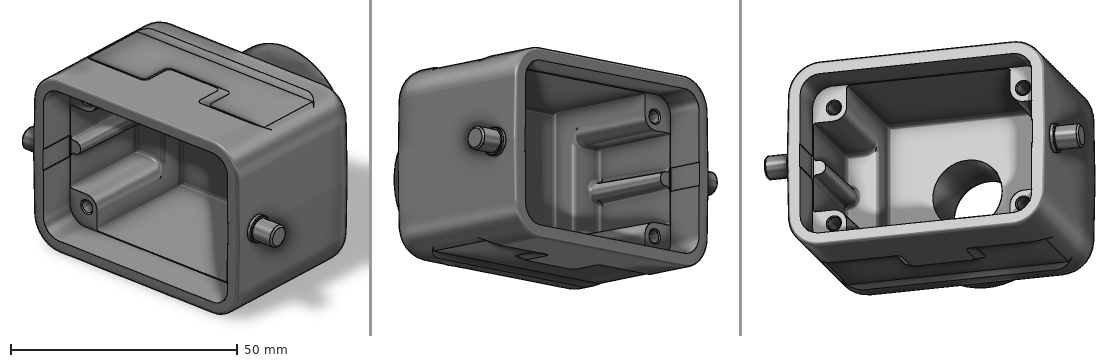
import cadquery as cq
import math


shell_width = 60.15
shell_height = 43.0
shell_depth = 39.9
side_draft = 1.2
shell_corner_radius = 7.5
back_round = 5.05
front_round = 0.65
wall = 2.9

entry_diameter = 34.1
entry_end = 52.5
entry_chamfer = 1.0
entry_base_fillet = 0.95
cable_hole_diameter = 16.05

mouth_width = 53.8
mouth_depth = 9.0
cavity_draft = 1.0
centre_pocket_width = 37.95
centre_pocket_height = 36.8
centre_pocket_end = shell_depth - wall
side_pocket_width = 53.5
side_pocket_height = 20.7
side_pocket_end = 30.95
post_round = 3.15
pocket_corner_radius = 0.65
floor_fillet = 1.0

rib_base_radius = 2.05
rib_tip_radius = 1.6
rib_start = 9.2
rib_centre_x = 25.55
rib_base_fillet = 0.95
screw_x = 22.0
screw_z = 13.5
screw_diameter = 2.9
screw_chamfer = 0.3
screw_depth = 10.2

groove_width = 5.25
groove_depth = 0.15

pin_y = 6.2
pin_span = 73.0
pin_diameter = 5.25
pin_chamfer = 0.45
collar_diameter = 6.4
collar_span = 62.1
collar_chamfer = 0.2

recess_depth = 0.95
recess_back = 32.05
recess_front = 12.05
tab_width = 15.05
tab_back = 20.0
recess_bevel = 1.75
recess_corner_radius = 1.25
recess_floor_width = 51.25
recess_end_drop = 0.5
recess_end_run = 1.0
recess_overrun = 3.65


def box_from_front(width, height, start, end, draft=0.0, corner=0.0):
    """Rectangular prism along +Y whose section shrinks with the draft."""
    section = cq.Sketch().rect(width, height)
    if corner:
        section = section.vertices().fillet(corner)
    return (
        cq.Workplane("XZ", origin=(0, start, 0))
        .placeSketch(section)
        .extrude(-(end - start), taper=draft)
    )


def cylinder_along_y(diameter, start, end):
    return cq.Workplane("XZ", origin=(0, start, 0)).circle(diameter / 2).extrude(start - end)


def make_shell():
    half_width = shell_width / 2
    half_height = shell_height / 2
    edge_x = half_width - half_height * math.tan(math.radians(side_draft))
    outline = [
        (half_width, 0),
        (edge_x, half_height),
        (-edge_x, half_height),
        (-half_width, 0),
        (-edge_x, -half_height),
        (edge_x, -half_height),
    ]
    shell = cq.Workplane("XZ").polyline(outline).close().extrude(-shell_depth)
    for z in (-half_height, half_height):
        for x in (-edge_x, edge_x):
            corner_edge = cq.selectors.BoxSelector((x - 0.7, 0, z - 0.7), (x + 0.7, shell_depth, z + 0.7))
            shell = shell.edges("|Y").edges(corner_edge).fillet(shell_corner_radius)
    shell = shell.faces(">Y").edges().fillet(back_round)
    return shell.faces("<Y").edges().fillet(front_round)


def make_cable_entry():
    entry = cylinder_along_y(entry_diameter, shell_depth - back_round, entry_end)
    return entry.faces(">Y").edges().chamfer(entry_chamfer)


def make_mouth():
    mouth_height = shell_height - 2 * wall
    mouth = box_from_front(
        mouth_width, mouth_height, 0, mouth_depth, corner=shell_corner_radius - wall
    )
    grooves = box_from_front(mouth_width + 2 * groove_depth, groove_width, 0, mouth_depth)
    return mouth.union(grooves)


def make_pockets():
    """Deep centre pocket crossed by a shallower one, which leaves four corner posts."""
    inner_corners = cq.selectors.BoxSelector(
        (-centre_pocket_width / 2 - 0.1, -side_pocket_height / 2 - 0.1, -0.7),
        (centre_pocket_width / 2 + 0.1, side_pocket_height / 2 + 0.1, 0.7),
    )
    cross_section = (
        cq.Sketch()
        .rect(centre_pocket_width, centre_pocket_height)
        .rect(side_pocket_width, side_pocket_height)
        .clean()
        .reset()
        .vertices(inner_corners)
        .fillet(post_round)
        .reset()
        .vertices("<X or >X or <Y or >Y")
        .fillet(pocket_corner_radius)
    )
    cross = (
        cq.Workplane("XZ", origin=(0, mouth_depth, 0))
        .placeSketch(cross_section)
        .extrude(mouth_depth - side_pocket_end, taper=cavity_draft)
    )
    centre = box_from_front(
        centre_pocket_width, centre_pocket_height, mouth_depth, centre_pocket_end,
        cavity_draft, pocket_corner_radius,
    )
    cross = cross.faces(">Y").edges().fillet(floor_fillet)
    centre = centre.faces(">Y").edges().fillet(floor_fillet)
    ridges = cq.selectors.BoxSelector(
        (-centre_pocket_width / 2, side_pocket_end - 0.04, -0.7),
        (centre_pocket_width / 2, side_pocket_end + 0.04, 0.7),
    )
    return cross.union(centre).edges("|Z").edges(ridges).fillet(floor_fillet)


def cut_ribs(pockets):
    """Take the two guide ribs out of the pocket volume, so that they stay in the hood."""
    rib_length = side_pocket_end - rib_start
    for x in (-rib_centre_x, rib_centre_x):
        rib = cq.Solid.makeCone(
            rib_tip_radius, rib_base_radius, rib_length,
            cq.Vector(x, rib_start, 0), cq.Vector(0, 1, 0),
        )
        pockets = pockets.cut(cq.Workplane(rib))
        rib_base = cq.selectors.BoxSelector(
            (x - rib_base_radius - 0.7, side_pocket_end - 0.1, -rib_base_radius - 0.7),
            (x + rib_base_radius + 0.7, side_pocket_end + 0.1, rib_base_radius + 0.7),
        )
        pockets = pockets.edges(rib_base).edges("%CIRCLE").fillet(rib_base_fillet)
    return pockets


def make_screw_holes():
    chamfer_tool = cq.Solid.makeCone(
        screw_diameter / 2 + screw_chamfer, screw_diameter / 2, screw_chamfer,
        cq.Vector(0, mouth_depth, 0), cq.Vector(0, 1, 0),
    )
    hole = cylinder_along_y(screw_diameter, mouth_depth, mouth_depth + screw_depth)
    hole = hole.union(cq.Workplane(chamfer_tool))
    holes = cq.Workplane()
    for x in (-screw_x, screw_x):
        for z in (-screw_z, screw_z):
            holes = holes.add(hole.translate((x, 0, z)))
    return holes.combine()


def make_pin(side):
    """Locking pin with its collar; side is -1 or 1 along X."""
    start = mouth_width / 2 + wall / 2
    base = cq.Workplane("YZ", origin=(start, pin_y, 0))
    pin = base.circle(pin_diameter / 2).extrude(pin_span / 2 - start)
    pin = pin.faces(">X").edges().chamfer(pin_chamfer)
    collar = base.circle(collar_diameter / 2).extrude(collar_span / 2 - start)
    collar = collar.faces(">X").edges().chamfer(collar_chamfer)
    pin = pin.union(collar)
    return pin if side > 0 else pin.mirror("YZ")


def recess_outline(depth):
    """U-shaped sketch around the tab, drawn in by the slope of the border at this depth."""
    inset = recess_bevel * depth / recess_depth
    side_x = shell_width / 2 + recess_overrun
    tab_x = tab_width / 2 + inset
    back = recess_back - inset
    front = recess_front + inset
    tab_y = tab_back + inset
    outline = (
        cq.Sketch()
        .polygon([
            (-side_x, back),
            (side_x, back),
            (side_x, front),
            (tab_x, front),
            (tab_x, tab_y),
            (-tab_x, tab_y),
            (-tab_x, front),
            (-side_x, front),
            (-side_x, back),
        ])
        .vertices(cq.selectors.BoxSelector((-tab_x - 0.7, 0, -0.7), (tab_x + 0.7, tab_y + 0.7, 0.7)))
        .fillet(recess_corner_radius)
    )
    return outline.moved(cq.Location((0, 0, shell_height / 2 - depth)))


def make_recess():
    """Volume removed from the upper face."""
    tool_depth = recess_depth + 2 * recess_end_drop
    outlines = recess_outline(0), recess_outline(tool_depth)
    bevelled = cq.Workplane().placeSketch(*outlines).loft(ruled=True)
    top = shell_height / 2
    floor_x = recess_floor_width / 2
    floor_z = top - recess_depth
    end_x = floor_x + 2 * recess_end_run
    end_z = floor_z - 2 * recess_end_drop
    section = [
        (-end_x, top),
        (-end_x, end_z),
        (-floor_x, floor_z),
        (floor_x, floor_z),
        (end_x, end_z),
        (end_x, top),
    ]
    keep = cq.Workplane("XZ").polyline(section).close().extrude(-shell_depth)
    return bevelled.intersect(keep)


def fillet_entry_base(hood):
    """Round the corner between the cable entry and the shell."""
    def on_entry_base(edge):
        samples = [edge.positionAt(step / 4) for step in range(5)]
        on_side = all(abs(math.hypot(p.x, p.z) - entry_diameter / 2) < 0.015 for p in samples)
        return on_side and samples[0].y < shell_depth + 0.7

    base_edges = [edge for edge in hood.edges().vals() if on_entry_base(edge)]
    return hood.newObject(base_edges).fillet(entry_base_fillet)


recess = make_recess()
pockets = cut_ribs(make_pockets())
result = (
    fillet_entry_base(make_shell().union(make_cable_entry()))
    .union(make_pin(-1))
    .union(make_pin(1))
    .cut(make_mouth())
    .cut(pockets)
    .cut(make_screw_holes())
    .cut(cylinder_along_y(cable_hole_diameter, 0, entry_end))
    .cut(recess)
    .cut(recess.mirror("XY"))
)